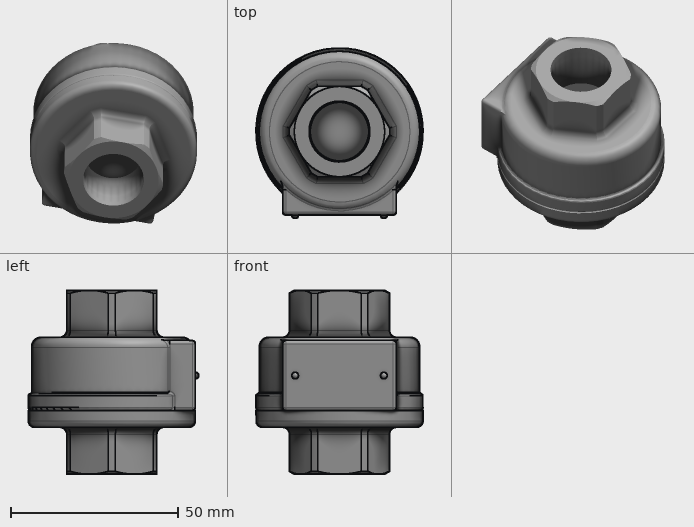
import cadquery as cq
import math

overall_height = 55.0
joint_z = 19.0
collar_top_z = 24.0
cap_top_z = 41.0
base_bottom_z = overall_height - cap_top_z

flange_radius = 25.0
flange_edge_radius = 2.0
parting_edge_radius = 1.0
cap_radius = 24.0
collar_step_radius = (flange_radius - cap_radius) / 2
cap_edge_radius = 3.0

hex_across_flats = 27.0
hex_corner_radius = 15.0
hex_chamfer_angle = 30.0
hex_root_radius = 2.0

port_taper = 1 / 16
port_inner_diameter = 17.48
port_taper_depth = 11.8
port_floor_depth = 15.0

plate_width = 34.0
plate_front = 25.0
plate_top_z = 40.0
plate_edge_radius = 1.0
plate_root_radius = 1.0

rivet_radius = 1.0
rivet_spacing = 26.5


def make_base():
    """Lower flange disc with a rounded bottom rim."""
    disc = cq.Workplane("XY").workplane(offset=base_bottom_z)
    disc = disc.circle(flange_radius).extrude(joint_z - base_bottom_z)
    return disc.faces("<Z").edges().fillet(flange_edge_radius)


def make_plate_block(depth, top_z):
    """Square-edged nameplate block that runs back from the plate face by the given depth."""
    block = cq.Workplane("XY").workplane(offset=joint_z).center(0, -plate_front + depth / 2)
    return block.rect(plate_width, depth).extrude(top_z - joint_z)


def merge_plate_block(round_body, body_radius, block_top_z):
    """Join the nameplate block to a round body, blend the junction and round the block's rims."""
    half_width = plate_width / 2
    merged = round_body.union(make_plate_block(plate_front, block_top_z))

    reach = half_width + plate_root_radius
    junction_region = cq.selectors.BoxSelector(
        (-reach, -plate_front + 2 * plate_edge_radius, joint_z + plate_root_radius),
        (reach, -half_width + plate_root_radius, cap_top_z),
    )
    merged = merged.edges("not |Y").edges(junction_region).fillet(plate_root_radius)

    blend_start_y = -math.sqrt((body_radius + plate_root_radius) ** 2 - reach**2)
    square_block = make_plate_block(plate_front + blend_start_y, plate_top_z)
    rims = "<Y or (|Y and (>Z or <Z))"
    rim_waste = square_block.cut(square_block.edges(rims).fillet(plate_edge_radius))
    return merged.cut(rim_waste)


def make_barrel():
    """Upper cylinder of the cap with a rounded top rim."""
    barrel = cq.Workplane("XY").workplane(offset=joint_z).circle(cap_radius).extrude(cap_top_z - joint_z)
    return barrel.faces(">Z").edges().fillet(cap_edge_radius)


def make_collar():
    """Thick band at the parting line with rounded rims."""
    collar = cq.Workplane("XY").workplane(offset=joint_z).circle(flange_radius)
    collar = collar.extrude(collar_top_z - joint_z)
    collar = collar.faces("<Z").edges().fillet(parting_edge_radius)
    return collar.faces(">Z").edges().fillet(collar_step_radius)


def make_collar_root():
    """Concave ring that leads from the top of the collar into the barrel."""
    profile = (
        cq.Workplane("XZ")
        .moveTo(0, collar_top_z)
        .lineTo(cap_radius + collar_step_radius, collar_top_z)
        .radiusArc((cap_radius, collar_top_z + collar_step_radius), collar_step_radius)
        .lineTo(0, collar_top_z + collar_step_radius)
        .close()
    )
    return profile.revolve(360, (0, 0), (0, 1))


def make_cap():
    """Upper housing: barrel, collar and nameplate block blended together."""
    barrel_with_block = merge_plate_block(make_barrel(), cap_radius, plate_top_z)
    collar_block_top_z = collar_top_z + 4 * plate_root_radius
    collar_with_block = merge_plate_block(make_collar(), flange_radius, collar_block_top_z)
    return barrel_with_block.union(collar_with_block).union(make_collar_root())


def make_hex_end(root_z, end_z):
    """Hexagonal wrench end standing from root_z up to a chamfered face at end_z."""
    length = end_z - root_z
    circumscribed_diameter = hex_across_flats / math.cos(math.pi / 6)
    prism = cq.Workplane("XY").polygon(6, circumscribed_diameter).extrude(length)

    face_radius = hex_across_flats / 2
    chamfer_drop = (hex_corner_radius - face_radius) * math.tan(math.radians(hex_chamfer_angle))
    turned_profile = (
        cq.Workplane("XZ")
        .lineTo(hex_corner_radius, 0)
        .lineTo(hex_corner_radius, length - chamfer_drop)
        .lineTo(face_radius, length)
        .lineTo(0, length)
        .close()
    )
    turned = turned_profile.revolve(360, (0, 0), (0, 1))
    return prism.intersect(turned).translate((0, 0, root_z))


def make_port():
    """Blind port cavity below Z = 0: a tapered mouth followed by a plain cylinder."""
    inner_radius = port_inner_diameter / 2
    mouth_radius = inner_radius + port_taper * port_taper_depth / 2
    profile = (
        cq.Workplane("XZ")
        .lineTo(mouth_radius, 0)
        .lineTo(inner_radius, -port_taper_depth)
        .lineTo(inner_radius, -port_floor_depth)
        .lineTo(0, -port_floor_depth)
        .close()
    )
    return profile.revolve(360, (0, 0), (0, 1))


def blend_hex_root(body, root_z):
    """Fillet the hexagonal outline where a wrench end meets the round body."""
    reach = hex_corner_radius + hex_root_radius
    half_height = hex_root_radius / 2
    root_region = cq.selectors.BoxSelector(
        (-reach, -reach, root_z - half_height),
        (reach, reach, root_z + half_height),
        boundingbox=True,
    )
    return body.edges(root_region).fillet(hex_root_radius)


def make_rivets():
    """Two spherical rivet heads, half sunk in the nameplate face."""
    rivet_z = (joint_z + plate_top_z) / 2
    rivets = cq.Workplane("XY")
    for side in (-1, 1):
        head = cq.Workplane("XY").sphere(rivet_radius)
        rivets = rivets.add(head.translate((side * rivet_spacing / 2, -plate_front, rivet_z)))
    return rivets.combine()


def flip_end_for_end(shape):
    """Mirror a shape from the upper end of the part to the lower end."""
    return shape.mirror("XY", (0, 0, overall_height / 2))


upper_hex = make_hex_end(cap_top_z, overall_height)
upper_port = make_port().translate((0, 0, overall_height))

result = make_cap().union(make_base())
result = result.union(upper_hex).union(flip_end_for_end(upper_hex))
result = blend_hex_root(result, cap_top_z)
result = blend_hex_root(result, base_bottom_z)
result = result.union(make_rivets())
result = result.cut(upper_port).cut(flip_end_for_end(upper_port))